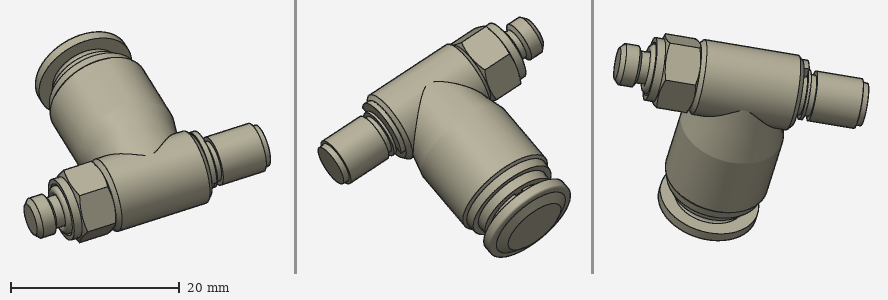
import cadquery as cq
import math


OVERALL_LENGTH = 30.0

BODY_R = 4.5
BODY_HALF_LENGTH = 6.25
BODY_CHAMFER = 0.55

PORT_FACE_X = -21.0
FLANGE_FRONT_X = -20.28
FLANGE_BACK_X = -18.95
NECK_FILLET_END_X = -18.55
RELEASE_RING_X = -17.8
COLLAR_X = -16.55
SHELL_CHAMFER_X = -15.45
SHELL_FRONT_X = -15.18
SHELL_BACK_X = -7.02

PORT_FACE_R = 3.9
DISH_R = 5.1
FLANGE_R = 6.0
FLANGE_ROUND = 0.27
NECK_R = 4.02
NECK_FILLET_R = 4.25
RELEASE_RING_FRONT_R = 4.92
RELEASE_RING_BACK_R = 5.0
COLLAR_FRONT_R = 5.75
COLLAR_BACK_R = 5.88
SHELL_DIAMETER = 12.5
SHELL_R = SHELL_DIAMETER / 2

SLIT_WIDTH = 1.0
SLIT_LENGTH = 0.25

STOP_TOP = 6.9
WASHER_BOTTOM = 7.0
WASHER_TOP = 7.35
KNOB_BOTTOM = 8.1
KNOB_SHOULDER = 13.68
KNOB_TOP = 14.43
STEM_R = 2.5
KNOB_R = 3.0
KNOB_SHOULDER_R = 2.65
KNOB_TOP_R = 2.55

STOP_R = 3.8
STOP_FLAT_Z = 0.42

HEX_TOP = -BODY_HALF_LENGTH
HEX_BOTTOM = -10.55
HEX_ACROSS_FLATS = 8.0
HEX_TOP_R = 3.95
HEX_TOP_CHAMFER = 0.35
HEX_BOTTOM_CHAMFER = 0.33

SEAT_BOTTOM = -11.58
SEAT_R = 3.78
RECESS_DEPTH = 0.55
RECESS_MOUTH_R = 3.2
RECESS_FLOOR_R = 3.05
SEAL_R = 2.43
SEAL_TUBE_R = 0.55
SEAL_Y = -11.55
THREAD_NECK_R = 1.92
THREAD_NECK_END = -13.02
THREAD_START = -13.38
THREAD_CHAMFER_START = -15.0
THREAD_END = KNOB_TOP - OVERALL_LENGTH
THREAD_R = 2.5
THREAD_END_R = 1.92


def revolve_y(points):
    """Revolve (radius, y) points about the Y axis."""
    return cq.Workplane("XY").polyline(points).close().revolve(360, (0, 0), (0, 1))


def make_body():
    end_r = BODY_R - BODY_CHAMFER
    side_y = BODY_HALF_LENGTH - BODY_CHAMFER
    return revolve_y([
        (0, -BODY_HALF_LENGTH),
        (end_r, -BODY_HALF_LENGTH),
        (BODY_R, -side_y),
        (BODY_R, side_y),
        (end_r, BODY_HALF_LENGTH),
        (0, BODY_HALF_LENGTH),
    ])


def make_port():
    """Revolved port; its cone narrows to the body radius where the two axes cross."""
    round_offset = FLANGE_ROUND * (1 - math.sqrt(0.5))
    port = (
        cq.Workplane("XY")
        .moveTo(0, 0)
        .lineTo(0, BODY_R)
        .lineTo(SHELL_BACK_X, SHELL_R)
        .lineTo(SHELL_FRONT_X, SHELL_R)
        .lineTo(SHELL_CHAMFER_X, COLLAR_BACK_R)
        .lineTo(COLLAR_X, COLLAR_FRONT_R)
        .lineTo(COLLAR_X, RELEASE_RING_BACK_R)
        .lineTo(RELEASE_RING_X, RELEASE_RING_FRONT_R)
        .lineTo(RELEASE_RING_X, NECK_R)
        .lineTo(NECK_FILLET_END_X, NECK_R)
        .tangentArcPoint((FLANGE_BACK_X, NECK_FILLET_R), relative=False)
        .lineTo(FLANGE_BACK_X, FLANGE_R)
        .lineTo(FLANGE_FRONT_X + FLANGE_ROUND, FLANGE_R)
        .threePointArc(
            (FLANGE_FRONT_X + round_offset, FLANGE_R - round_offset),
            (FLANGE_FRONT_X, FLANGE_R - FLANGE_ROUND),
        )
        .lineTo(FLANGE_FRONT_X, DISH_R)
        .lineTo(PORT_FACE_X, PORT_FACE_R)
        .lineTo(PORT_FACE_X, 0)
        .close()
        .revolve(360, (0, 0), (1, 0))
    )
    slit = (
        cq.Workplane("XY")
        .center(RELEASE_RING_X - SLIT_LENGTH / 2, 0)
        .rect(SLIT_LENGTH, SLIT_WIDTH)
        .extrude(FLANGE_R, both=True)
    )
    return port.cut(slit)


def make_knob():
    return revolve_y([
        (0, 0),
        (STEM_R, 0),
        (STEM_R, WASHER_BOTTOM),
        (KNOB_R, WASHER_BOTTOM),
        (KNOB_R, WASHER_TOP),
        (STEM_R, WASHER_TOP),
        (STEM_R, KNOB_BOTTOM),
        (KNOB_R, KNOB_BOTTOM),
        (KNOB_R, KNOB_SHOULDER),
        (KNOB_SHOULDER_R, KNOB_SHOULDER),
        (KNOB_TOP_R, KNOB_TOP),
        (0, KNOB_TOP),
    ])


def make_stop():
    """Half-round plate whose flat side faces -Z."""
    return (
        cq.Workplane("XZ", origin=(0, BODY_HALF_LENGTH, 0))
        .moveTo(-STOP_R, STOP_FLAT_Z)
        .threePointArc((0, STOP_FLAT_Z + STOP_R), (STOP_R, STOP_FLAT_Z))
        .close()
        .extrude(BODY_HALF_LENGTH - STOP_TOP)
    )


def make_hex():
    """Hexagon with corners on the X axis, turned off conically at both ends."""
    corner_r = HEX_ACROSS_FLATS / math.sqrt(3)
    prism = (
        cq.Workplane("XZ", origin=(0, HEX_TOP, 0))
        .polygon(6, 2 * corner_r)
        .extrude(HEX_TOP - HEX_BOTTOM)
    )
    envelope = revolve_y([
        (0, HEX_BOTTOM),
        (SEAT_R, HEX_BOTTOM),
        (corner_r, HEX_BOTTOM + HEX_BOTTOM_CHAMFER),
        (corner_r, HEX_TOP - HEX_TOP_CHAMFER),
        (HEX_TOP_R, HEX_TOP),
        (0, HEX_TOP),
    ])
    return prism.intersect(envelope)


def make_threaded_end():
    """Recessed seal seat, neck and plain thread cylinder, with the O-ring in the recess."""
    recess_floor = SEAT_BOTTOM + RECESS_DEPTH
    turned = revolve_y([
        (0, HEX_BOTTOM),
        (SEAT_R, HEX_BOTTOM),
        (SEAT_R, SEAT_BOTTOM),
        (RECESS_MOUTH_R, SEAT_BOTTOM),
        (RECESS_FLOOR_R, recess_floor),
        (THREAD_NECK_R, recess_floor),
        (THREAD_NECK_R, THREAD_NECK_END),
        (THREAD_R, THREAD_START),
        (THREAD_R, THREAD_CHAMFER_START),
        (THREAD_END_R, THREAD_END),
        (0, THREAD_END),
    ])
    seal = (
        cq.Workplane("XY")
        .center(SEAL_R, SEAL_Y)
        .circle(SEAL_TUBE_R)
        .revolve(360, (-SEAL_R, 0), (-SEAL_R, 1))
    )
    return turned.union(seal)


result = (
    make_body()
    .union(make_port())
    .union(make_knob())
    .union(make_stop())
    .union(make_hex())
    .union(make_threaded_end())
)